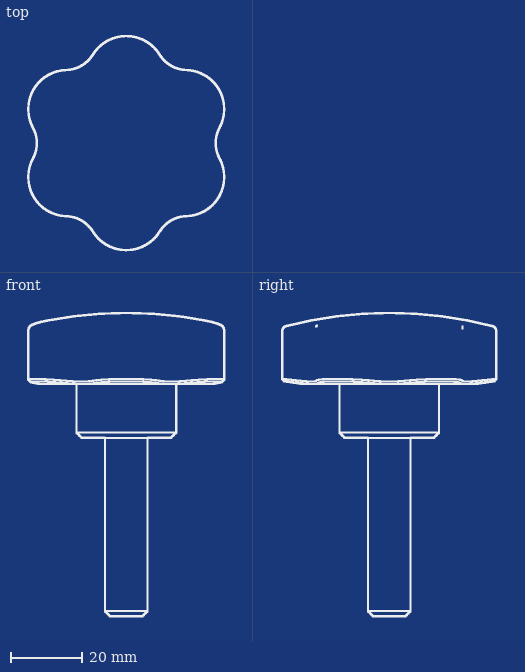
import cadquery as cq
import math

lobe_count = 6
tip_radius = 30.0
lobe_radius = 11.0
valley_radius = 9.0
grip_height = 20.0
dome_radius = 115.0
top_edge_fillet = 1.5
bottom_edge_chamfer = 0.6
underside_flat_radius = 24.0
underside_rise = 0.9

hub_diameter = 28.0
hub_length = 15.0
hub_chamfer = 1.5
stud_diameter = 12.0
stud_length = 50.0
stud_chamfer = 1.5

grip_bottom = hub_length
grip_top = grip_bottom + grip_height

lobe_pitch = 2 * math.pi / lobe_count
lobe_center_radius = tip_radius - lobe_radius
half_pitch = lobe_pitch / 2
lobe_offset_along_valley = lobe_center_radius * math.cos(half_pitch)
lobe_offset_across_valley = lobe_center_radius * math.sin(half_pitch)
valley_center_radius = lobe_offset_along_valley + math.sqrt(
    (lobe_radius + valley_radius) ** 2 - lobe_offset_across_valley**2
)
valley_floor_radius = valley_center_radius - valley_radius
first_lobe_angle = math.pi / 2


def polar(radius, angle):
    """Point at the given distance and angle from the knob axis."""
    return (radius * math.cos(angle), radius * math.sin(angle))


def tangent_point(lobe_angle, valley_angle):
    """Point where a lobe arc passes into the neighbouring valley arc."""
    lobe_x, lobe_y = polar(lobe_center_radius, lobe_angle)
    valley_x, valley_y = polar(valley_center_radius, valley_angle)
    fraction = lobe_radius / (lobe_radius + valley_radius)
    return (
        lobe_x + fraction * (valley_x - lobe_x),
        lobe_y + fraction * (valley_y - lobe_y),
    )


def lobed_prism():
    """Straight-sided block with the outline of alternating lobes and valleys."""
    start = tangent_point(first_lobe_angle, first_lobe_angle - half_pitch)
    outline = cq.Workplane("XY").workplane(offset=grip_bottom).moveTo(*start)
    for index in range(lobe_count):
        lobe_angle = first_lobe_angle + index * lobe_pitch
        valley_angle = lobe_angle + half_pitch
        next_lobe_angle = lobe_angle + lobe_pitch
        lobe_end = tangent_point(lobe_angle, valley_angle)
        valley_end = tangent_point(next_lobe_angle, valley_angle)
        outline = outline.threePointArc(polar(tip_radius, lobe_angle), lobe_end)
        outline = outline.threePointArc(polar(valley_floor_radius, valley_angle), valley_end)
    return outline.close().extrude(grip_height)


def turned_envelope():
    """Solid of revolution giving the grip its domed top and conical underside rim."""
    envelope_radius = tip_radius + lobe_radius
    dome_center = grip_top - dome_radius
    dome_edge = dome_center + math.sqrt(dome_radius**2 - envelope_radius**2)
    mid_radius = envelope_radius / 2
    dome_mid = dome_center + math.sqrt(dome_radius**2 - mid_radius**2)
    rim_slope = underside_rise / (tip_radius - underside_flat_radius)
    rim_edge = grip_bottom + rim_slope * (envelope_radius - underside_flat_radius)
    return (
        cq.Workplane("XZ")
        .moveTo(0, grip_bottom)
        .lineTo(underside_flat_radius, grip_bottom)
        .lineTo(envelope_radius, rim_edge)
        .lineTo(envelope_radius, dome_edge)
        .threePointArc((mid_radius, dome_mid), (0, grip_top))
        .close()
        .revolve(360, (0, 0), (0, 1))
    )


def grip():
    """Lobed head with a rounded upper edge and a bevelled lower edge."""
    body = lobed_prism().intersect(turned_envelope())
    body = body.faces("%SPHERE").edges("%BSPLINE").fillet(top_edge_fillet)
    return body.faces("%CONE").edges("%BSPLINE").chamfer(bottom_edge_chamfer)


def hub():
    """Round boss under the grip."""
    body = cq.Workplane("XY").circle(hub_diameter / 2).extrude(grip_bottom)
    return body.faces("<Z").chamfer(hub_chamfer)


def stud():
    """Plain pin hanging from the hub."""
    body = cq.Workplane("XY").circle(stud_diameter / 2).extrude(-stud_length)
    return body.faces("<Z").chamfer(stud_chamfer)


result = grip().union(hub()).union(stud())